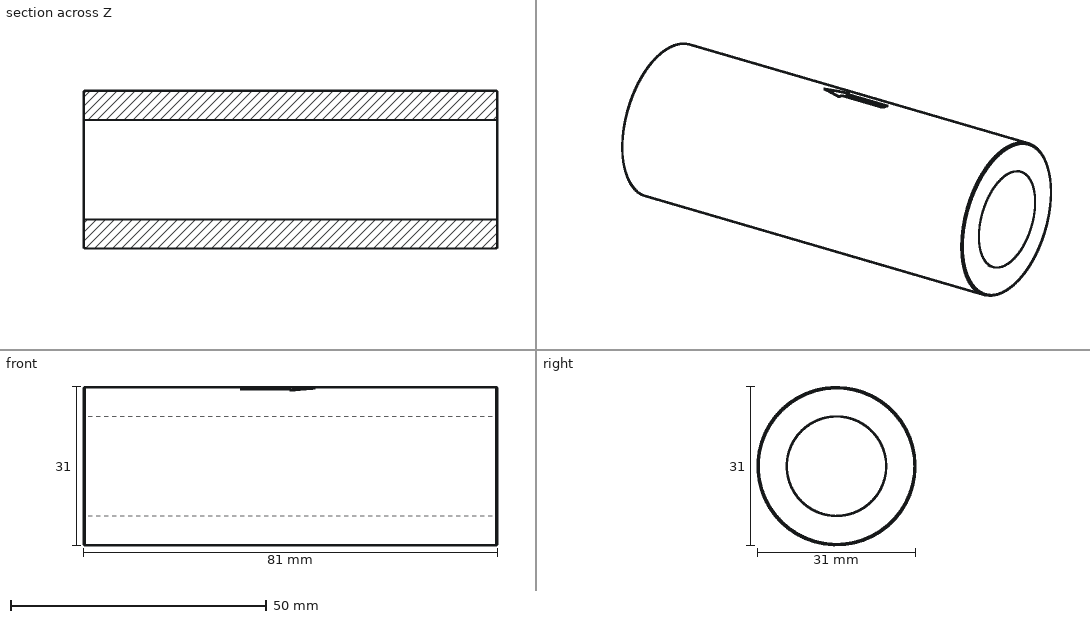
import cadquery as cq

length = 81.03
outer_diameter = 30.99
bore_diameter = 19.45
edge_chamfer = 0.25

arrow_tail_x = -9.75
arrow_neck_x = 0.0
arrow_tip_x = 4.7
arrow_center_y = -2.57
arrow_shaft_width = 1.55
arrow_head_width = 3.45
arrow_depth = 0.1

outer_radius = outer_diameter / 2


def make_cylinder(radius):
    """Solid cylinder along X over the full sleeve length."""
    return cq.Workplane("YZ", origin=(-length / 2, 0, 0)).circle(radius).extrude(length)


def make_sleeve():
    """Tube with both outer rims chamfered."""
    body = make_cylinder(outer_radius).faces("<X or >X").chamfer(edge_chamfer)
    return body.cut(make_cylinder(bore_diameter / 2))


def make_arrow_cutter():
    """Arrow-shaped prism whose floor follows the cylinder at a constant depth."""
    shaft_half = arrow_shaft_width / 2
    head_half = arrow_head_width / 2
    prism = (
        cq.Workplane("XY", origin=(0, arrow_center_y, 0))
        .moveTo(arrow_tail_x, -shaft_half)
        .lineTo(arrow_neck_x, -shaft_half)
        .lineTo(arrow_neck_x, -head_half)
        .lineTo(arrow_tip_x, 0)
        .lineTo(arrow_neck_x, head_half)
        .lineTo(arrow_neck_x, shaft_half)
        .lineTo(arrow_tail_x, shaft_half)
        .close()
        .extrude(outer_diameter)
    )
    return prism.cut(make_cylinder(outer_radius - arrow_depth))


result = make_sleeve().cut(make_arrow_cutter())